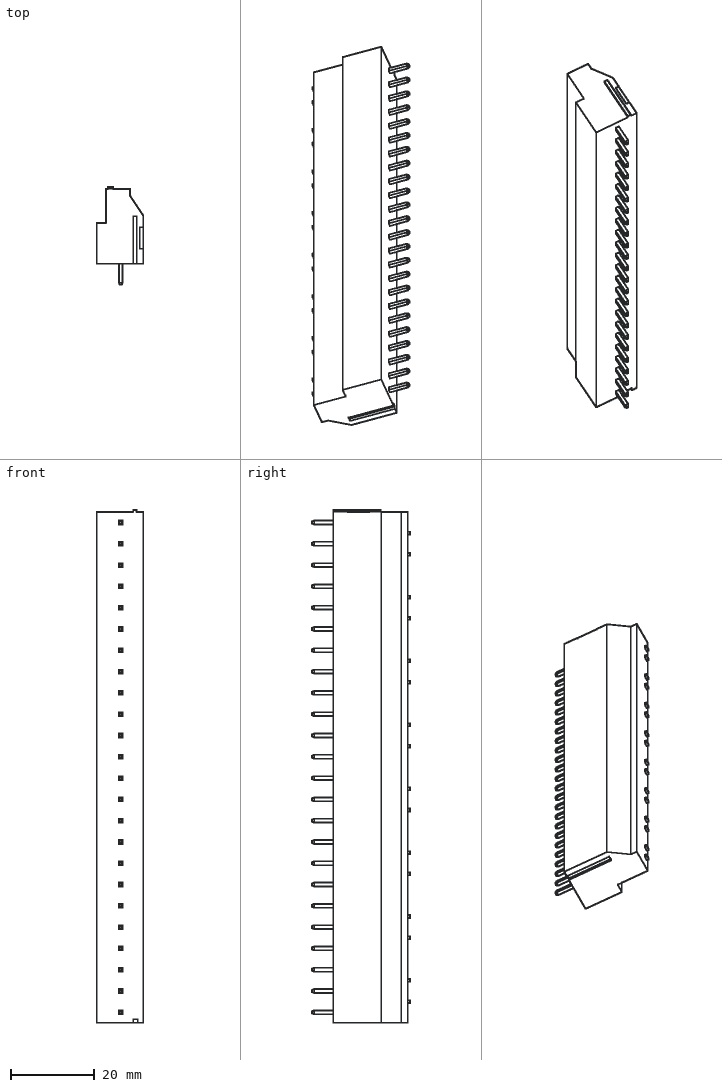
import cadquery as cq

pole_count = 24
pitch = 5.08
body_height = pole_count * pitch
overall_height = 122.4

width = 11.1
depth = 17.9
step_width = 2.2
step_depth = 9.8
crown_right = 8.0
shoulder_depth = 16.3
slope_end_depth = 11.5

tongue_left = 8.7
tongue_width = 0.9
tongue_length = 11.4
tongue_height = overall_height - body_height

groove_width = 1.1
groove_depth = 0.9

notch_left = 10.3
notch_start = 3.5
notch_length = 5.1
notch_depth = 0.1

pin_center = 5.8
pin_width = 0.9
pin_thickness = 1.0
pin_length = 5.0
pin_tip_length = 0.5
pin_tip_size = 0.5

group_size = 3
mark_left = 2.7
mark_width = 1.2
mark_height = 0.7
mark_rise = 0.5


def make_body():
    outline = [
        (0, 0),
        (width, 0),
        (width, slope_end_depth),
        (crown_right, shoulder_depth),
        (crown_right, depth),
        (step_width, depth),
        (step_width, step_depth),
        (0, step_depth),
    ]
    return cq.Workplane("XY").polyline(outline).close().extrude(body_height)


def make_strip(strip_width, height, base):
    """Straight strip that starts at the pin face, used for the tongue and its groove."""
    strip = cq.Workplane("XY").box(strip_width, tongue_length, height, centered=False)
    return strip.translate((tongue_left, 0, base))


def make_notch():
    """Shallow relief in the upper end, open to the +X side."""
    notch = cq.Workplane("XY").box(width - notch_left, notch_length, notch_depth, centered=False)
    return notch.translate((notch_left, notch_start, body_height - notch_depth))


def make_pin(z_center):
    shank_length = pin_length - pin_tip_length
    shank = (
        cq.Workplane("XZ", origin=(pin_center, 0, z_center))
        .rect(pin_width, pin_thickness)
        .extrude(shank_length)
    )
    tip = (
        shank.faces("<Y")
        .workplane()
        .rect(pin_width, pin_thickness)
        .workplane(offset=pin_tip_length)
        .rect(pin_tip_size, pin_tip_size)
        .loft(combine=False)
    )
    return shank.union(tip)


def make_mark(z_center):
    mark = cq.Workplane("XY").box(mark_width, mark_rise, mark_height, centered=(False, False, True))
    return mark.translate((mark_left, depth, z_center))


result = (
    make_body()
    .cut(make_notch())
    .cut(make_strip(groove_width, groove_depth, 0))
    .union(make_strip(tongue_width, tongue_height, body_height))
)

for pole in range(pole_count):
    result = result.union(make_pin((pole + 0.5) * pitch))

for joint in range(1, pole_count):
    if joint % group_size != 0:
        result = result.union(make_mark(joint * pitch))